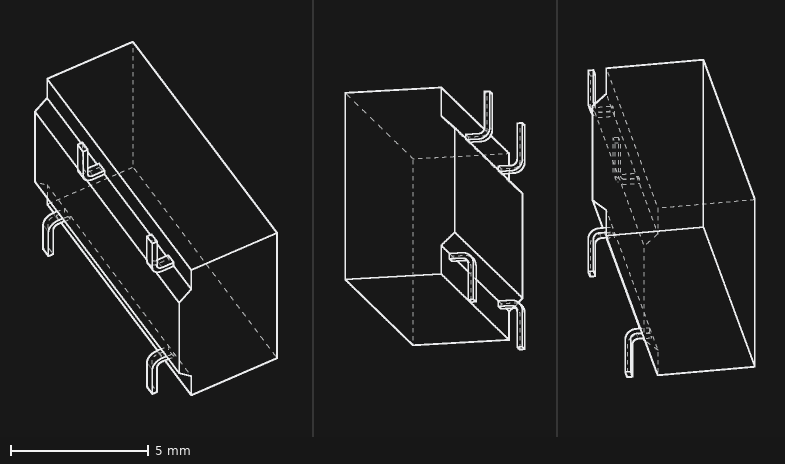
import cadquery as cq

length = 10.6
body_height = 7.0
body_depth = 3.6
rib_depth = 0.51
rib_base_height = 4.85
rib_flat_height = 3.92

overall_depth = 4.5
overall_height = 8.4
lead_width = 0.4
lead_thickness = 0.2
bend_inner_radius = 0.21
bend_outer_radius = bend_inner_radius + lead_thickness
lead_pitch = 2.54
outer_lead_x = 1.5 * lead_pitch
upper_lead_places = (-outer_lead_x + lead_pitch, outer_lead_x)
lower_lead_places = (-outer_lead_x, outer_lead_x)
lead_embed = 0.21

lead_front_y = body_depth - overall_depth


def make_body():
    """Block with the trapezoidal rib, extruded along X."""
    return (
        cq.Workplane("YZ")
        .moveTo(body_depth, -body_height / 2)
        .lineTo(body_depth, body_height / 2)
        .lineTo(0, body_height / 2)
        .lineTo(0, rib_base_height / 2)
        .lineTo(-rib_depth, rib_flat_height / 2)
        .lineTo(-rib_depth, -rib_flat_height / 2)
        .lineTo(0, -rib_base_height / 2)
        .lineTo(0, -body_height / 2)
        .close()
        .extrude(length / 2, both=True)
    )


def make_upper_lead(x):
    """Lead that leaves the body above the rib and bends upward."""
    root_z = rib_base_height / 2
    tip_z = overall_height / 2
    bend_y = lead_front_y + bend_outer_radius
    bend_z = root_z + bend_outer_radius
    return (
        cq.Workplane("YZ", origin=(x, 0, 0))
        .moveTo(lead_embed, root_z)
        .lineTo(bend_y, root_z)
        .radiusArc((lead_front_y, bend_z), bend_outer_radius)
        .lineTo(lead_front_y, tip_z)
        .lineTo(lead_front_y + lead_thickness, tip_z)
        .lineTo(lead_front_y + lead_thickness, bend_z)
        .radiusArc((bend_y, root_z + lead_thickness), -bend_inner_radius)
        .lineTo(lead_embed, root_z + lead_thickness)
        .close()
        .extrude(lead_width / 2, both=True)
    )


result = make_body()
for x in upper_lead_places:
    result = result.union(make_upper_lead(x))
for x in lower_lead_places:
    result = result.union(make_upper_lead(x).mirror("XY"))